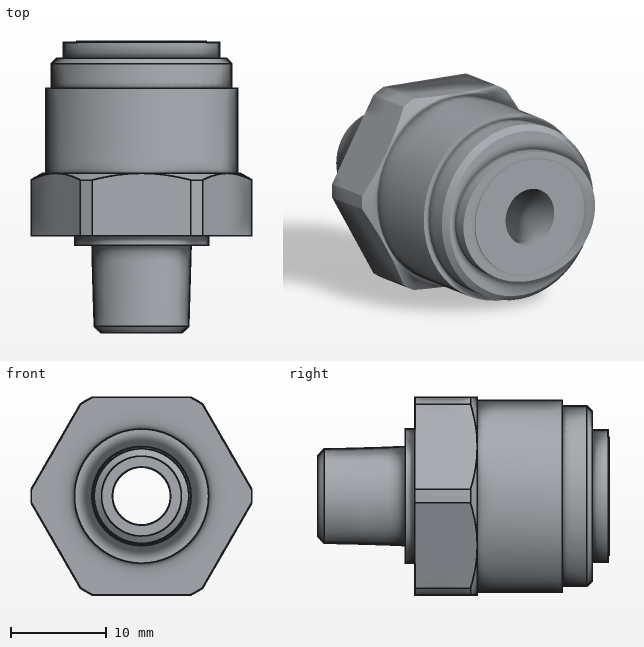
import cadquery as cq
import math

tip_chamfer_end = 0.7
spigot_end = 9.12
flange_end = 10.12
hex_end = 16.63
body_end = 25.5
collar_end = 28.65
ring_end = 30.28
total_length = 30.4

bore_radius = 3.0
tip_radius = 4.15
spigot_front_radius = 4.92
spigot_back_radius = 5.17
flange_radius = 7.0
body_radius = 10.0
collar_radius = 9.4
collar_chamfer = 0.58

hex_across_flats = 20.6
hex_across_corners = 23.0
hex_corner_radius = hex_across_corners / 2
hex_chamfer_angle = 30.0

ring_width = 16.3
ring_height = 13.8
lip_width = 13.5
lip_height = 12.28


def revolve_about_y(profile):
    """Revolve (radius, y) points about the Y axis."""
    return cq.Workplane("XY").polyline(profile).close().revolve(360, (0, 0, 0), (0, 1, 0))


def section_at(y):
    """Plane across the axis at y, with its normal along +Y."""
    return cq.Workplane(cq.Plane(origin=(0, y, 0), xDir=(1, 0, 0), normal=(0, 1, 0)))


def make_turned_body():
    return revolve_about_y([
        (0, 0),
        (tip_radius, 0),
        (spigot_front_radius, tip_chamfer_end),
        (spigot_back_radius, spigot_end),
        (flange_radius, spigot_end),
        (flange_radius, flange_end),
        (body_radius, flange_end),
        (body_radius, body_end),
        (collar_radius, body_end),
        (collar_radius, collar_end - collar_chamfer),
        (collar_radius - collar_chamfer, collar_end),
        (0, collar_end),
    ])


def make_hexagon():
    sharp_corner_diameter = hex_across_flats / math.cos(math.pi / 6)
    flat_radius = hex_across_flats / 2
    chamfer_length = (hex_corner_radius - flat_radius) * math.tan(math.radians(hex_chamfer_angle))
    prism = section_at(flange_end).polygon(6, sharp_corner_diameter).extrude(hex_end - flange_end)
    envelope = revolve_about_y([
        (0, flange_end),
        (hex_corner_radius, flange_end),
        (hex_corner_radius, hex_end - chamfer_length),
        (flat_radius, hex_end),
        (0, hex_end),
    ])
    return prism.intersect(envelope)


def make_oval(width, height, start, end):
    return section_at(start).ellipse(width / 2, height / 2).extrude(end - start)


release_ring = make_oval(ring_width, ring_height, collar_end, ring_end)
end_lip = make_oval(lip_width, lip_height, ring_end, total_length)
bore = section_at(0).circle(bore_radius).extrude(total_length)

result = make_turned_body().union(make_hexagon()).union(release_ring).union(end_lip).cut(bore)